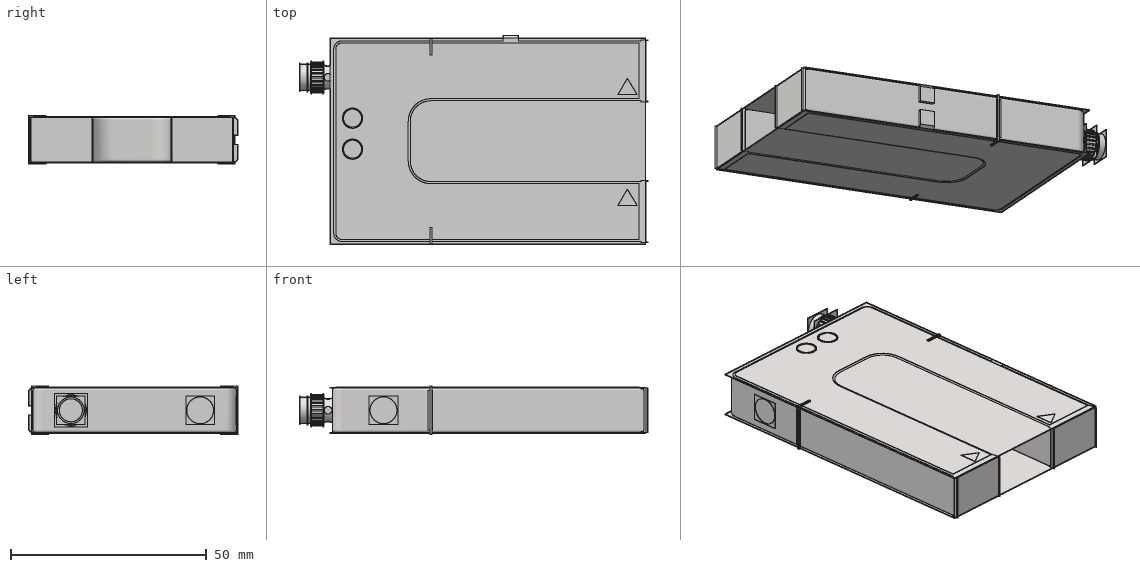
import cadquery as cq


SKIN = 0.1

body_left = 8.35
body_right = 87.8
body_half_width = 25.95
body_half_height = 5.8
body_corner = 2.5
edge_round = 0.7

land_inset = 0.9
land_tip_inset = 1.2

slot_left = 28.6
slot_half_width = 9.95
slot_corner = 4.9

sheet_left = 7.8
sheet_right = 88.2
sheet_half_width = 26.3

seam_x = 33.5
seam_width = 0.5
seam_length = 4.35
seam_half_height = 6.2
collar_left = 32.7
collar_right = 33.95

tip_cap_right = 88.4
tip_fin_right = 88.9
tip_half_height = 5.7
tip_fin_thickness = 0.2

window_size = 7.3
window_circle = 6.8
front_window_x = 21.4
left_window_y = -16.7

light_x = 13.5
light_places_y = (5.9, -2.0)
light_outer = 5.15
light_inner = 4.6
light_groove_depth = 0.3
marker_x = 83.6
marker_width = 4.9
marker_height = 4.1
marker_base_places_y = (11.9, -16.35)

pad_x = 53.85
pad_width = 3.9
pad_outer_y = 27.0
pad_gap = 2.3
pad_chamfer = 0.7

plug_y = 16.3
nose_diameter = 6.75
nose_ring_x = 1.95
nose_ring_width = 0.3
nose_ring_diameter = 7.4
socket_diameter = 5.9
knurl_left = 2.8
knurl_right = 6.2
knurl_diameter = 8.0
knurl_grooves = 24
knurl_groove_size = 0.35
neck_diameter = 6.2
neck_hole_x = 7.3
neck_hole_diameter = 1.95
neck_hole_depth = 0.35
flange_thickness = 0.2
plug_flanges = ((0, 7.3), (2.9, 8.4), (5.95, 8.4))


def box(x_range, y_range, z_range):
    """Box between two X, two Y and two Z places."""
    size = [high - low for low, high in (x_range, y_range, z_range)]
    low_corner = (x_range[0], y_range[0], z_range[0])
    return cq.Workplane("XY").box(*size, centered=False).translate(low_corner)


def rod(left, right, diameter):
    """Cylinder on the connector axis."""
    plane = cq.Workplane("YZ", origin=(left, plug_y, 0))
    return plane.circle(diameter / 2).extrude(right - left)


def fork(inset, tip_inset, half_height):
    """U-shaped slab set back by `inset` from the housing walls and by `tip_inset` from the prong ends."""
    left = body_left + inset
    right = body_right - tip_inset
    half_width = body_half_width - inset
    slot_end = slot_left - inset
    slot_half = slot_half_width + inset
    z_range = (-half_height, half_height)
    slab = box((left, right), (-half_width, half_width), z_range)
    slab = slab.edges("|Z and <X").fillet(body_corner - inset)
    slot_cut = box((slot_end, right + 0.9), (-slot_half, slot_half), z_range)
    slot_cut = slot_cut.edges("|Z and <X").fillet(slot_corner + inset)
    return slab.cut(slot_cut)


def housing():
    """Rounded fork closed above and below by flat sheets, with a raised fork-shaped land on each."""
    body = fork(0, 0, body_half_height).faces("|Z").edges().fillet(edge_round)
    sheet_top = body_half_height + SKIN
    for low, high in ((body_half_height - SKIN, sheet_top), (-sheet_top, SKIN - body_half_height)):
        sheet = box((sheet_left, sheet_right), (-sheet_half_width, sheet_half_width), (low, high))
        body = body.union(sheet)
    return body.union(fork(land_inset, land_tip_inset, sheet_top + SKIN))


def seam_ribs():
    """Bracket-shaped rib and shallow collar on each long side."""
    ribs = cq.Workplane("XY")
    inner_y = sheet_half_width - seam_length
    x_range = (seam_x - seam_width / 2, seam_x + seam_width / 2)
    z_range = (-seam_half_height, seam_half_height)
    collar_y = body_half_width + SKIN
    for side in (-1, 1):
        rib_y = sorted((side * inner_y, side * sheet_half_width))
        ribs = ribs.union(box(x_range, rib_y, z_range))
        band_y = sorted((side * inner_y, side * collar_y))
        collar_z = (edge_round - body_half_height, body_half_height - edge_round)
        ribs = ribs.union(box((collar_left, collar_right), band_y, collar_z))
    return ribs


def prong_tips():
    """End cap on each prong, with thin fins running on from its two side walls."""
    tips = cq.Workplane("XY")
    z_range = (-tip_half_height, tip_half_height)
    start_x = body_right - edge_round
    outer_y = body_half_width - SKIN
    inner_y = slot_half_width + SKIN
    for side in (-1, 1):
        cap_y = sorted((side * inner_y, side * outer_y))
        tips = tips.union(box((start_x, tip_cap_right), cap_y, z_range))
        for fin_start in (inner_y, outer_y - tip_fin_thickness):
            fin_y = sorted((side * fin_start, side * (fin_start + tip_fin_thickness)))
            tips = tips.union(box((start_x, tip_fin_right), fin_y, z_range))
    return tips


def window(plane, origin):
    """Cutter for a shallow square recess with a deeper round recess in its floor."""
    base = cq.Workplane(plane, origin=origin)
    square = base.rect(window_size, window_size).extrude(-SKIN)
    lens = base.circle(window_circle / 2).extrude(-2 * SKIN)
    return square.union(lens)


def windows():
    """Cutters for the two sensor windows."""
    front = window("XZ", (front_window_x, -body_half_width, 0))
    left = window("ZY", (body_left, left_window_y, 0))
    return front.union(left)


def back_pads():
    """Two pads on the back wall, one above and one below a central gap."""
    x_range = (pad_x - pad_width / 2, pad_x + pad_width / 2)
    y_range = (body_half_width - edge_round, pad_outer_y)
    lower = box(x_range, y_range, (-body_half_height, -pad_gap / 2))
    lower = lower.edges(">Y and <Z").chamfer(pad_chamfer)
    return lower.union(lower.mirror("XY"))


def top_marks():
    """Cutter for the ring grooves of the lights and the triangular prong markers."""
    land_top = cq.Workplane("XY", origin=(0, 0, body_half_height + 2 * SKIN))
    light_places = [(light_x, y) for y in light_places_y]
    rings = land_top.pushPoints(light_places).circle(light_outer / 2).circle(light_inner / 2)
    marks = rings.extrude(-light_groove_depth)
    for base_y in marker_base_places_y:
        triangle = land_top.polyline([
            (marker_x - marker_width / 2, base_y),
            (marker_x + marker_width / 2, base_y),
            (marker_x, base_y + marker_height),
        ]).close()
        marks = marks.union(triangle.extrude(-SKIN))
    return marks


def knurled_nut():
    """Coupling nut with grooves along its rim."""
    plane = cq.Workplane("YZ", origin=(knurl_left, plug_y, 0))
    grooves = plane.polarArray(knurl_diameter / 2, 0, 360, knurl_grooves)
    grooves = grooves.rect(knurl_groove_size, knurl_groove_size).extrude(knurl_right - knurl_left)
    return rod(knurl_left, knurl_right, knurl_diameter).cut(grooves)


def connector():
    """Plug with a nose, a knurled nut, a drilled neck and square flanges."""
    plug = rod(0, knurl_left, nose_diameter)
    plug = plug.union(rod(nose_ring_x, nose_ring_x + nose_ring_width, nose_ring_diameter))
    plug = plug.union(knurled_nut())
    plug = plug.union(rod(knurl_right, body_left, neck_diameter))
    for left, size in plug_flanges:
        flange = cq.Workplane("YZ", origin=(left, plug_y, 0)).rect(size, size)
        plug = plug.union(flange.extrude(flange_thickness))
    plug = plug.cut(rod(0, SKIN, socket_diameter))
    hole_floor = neck_diameter / 2 - neck_hole_depth
    for quarter in range(4):
        hole = cq.Workplane("XY", origin=(neck_hole_x, plug_y, hole_floor))
        hole = hole.circle(neck_hole_diameter / 2).extrude(2 * neck_hole_depth)
        plug = plug.cut(hole.rotate((0, plug_y, 0), (1, plug_y, 0), 90 * quarter))
    return plug


result = housing()
for feature in (seam_ribs(), prong_tips(), back_pads(), connector()):
    result = result.union(feature)
result = result.cut(top_marks()).cut(windows())